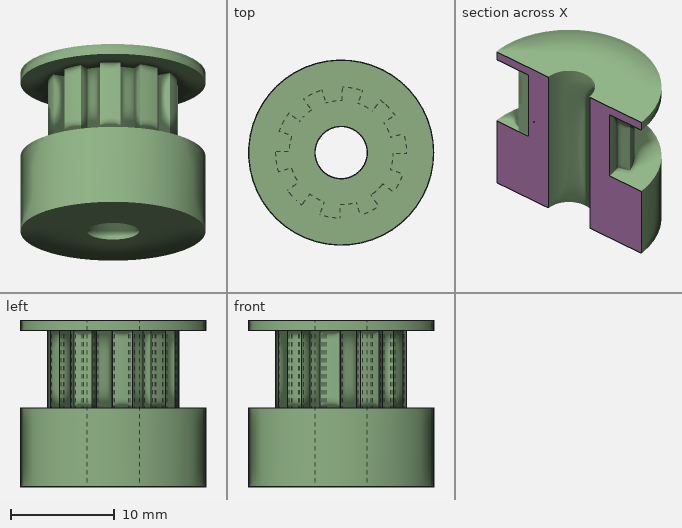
import cadquery as cq
import math

flange_diameter = 17.8
bore_diameter = 5.0
total_height = 16.0
base_height = 7.6
top_flange_height = 1.0
belt_height = total_height - base_height - top_flange_height

tooth_count = 10
tip_radius = 6.3
root_radius = 5.0
tooth_pitch = 360 / tooth_count
tooth_angle = tooth_pitch / 2
first_tooth_start = -1.0


def polar(radius, angle):
    """Point at the given radius and angle in degrees."""
    return (radius * math.cos(math.radians(angle)), radius * math.sin(math.radians(angle)))


def toothed_section():
    """Prism whose outline alternates between tip arcs and root arcs."""
    outline = cq.Workplane("XY").workplane(offset=base_height)
    outline = outline.moveTo(*polar(tip_radius, first_tooth_start))
    for index in range(tooth_count):
        start = first_tooth_start + index * tooth_pitch
        end = start + tooth_angle
        following = start + tooth_pitch
        outline = outline.threePointArc(polar(tip_radius, (start + end) / 2), polar(tip_radius, end))
        outline = outline.lineTo(*polar(root_radius, end))
        outline = outline.threePointArc(
            polar(root_radius, (end + following) / 2), polar(root_radius, following)
        )
        if index < tooth_count - 1:
            outline = outline.lineTo(*polar(tip_radius, following))
    return outline.close().extrude(belt_height)


def disc(diameter, bottom, height):
    """Upright cylinder on the pulley axis."""
    return cq.Workplane("XY").workplane(offset=bottom).circle(diameter / 2).extrude(height)


base = disc(flange_diameter, 0, base_height)
top_flange = disc(flange_diameter, base_height + belt_height, top_flange_height)
bore = disc(bore_diameter, 0, total_height)

result = base.union(toothed_section()).union(top_flange).cut(bore)